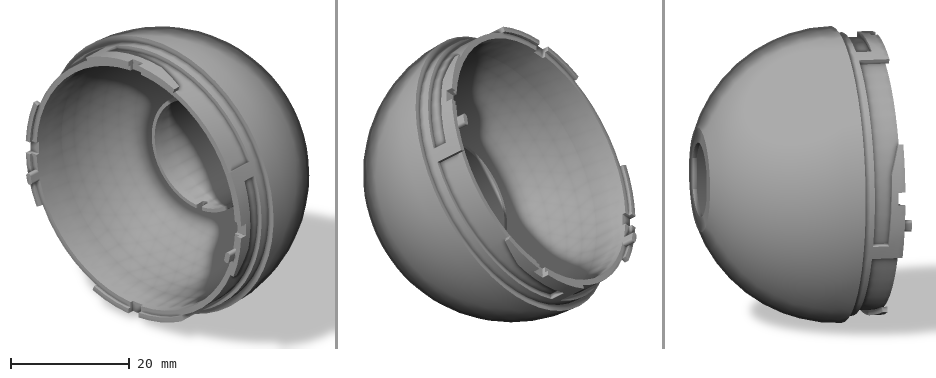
import cadquery as cq
import math


dome_radius = 25.0
crown_y = 23.4
inner_radius = 22.0
neck_radius = 23.0
collar_radius = 23.9
collar_length = 1.8
skirt_length = 6.45
joint_angle = 45.0

socket_mouth_y = 9.85
socket_floor_y = 22.7
socket_outer_mouth_radius = 10.45
socket_outer_base_radius = 10.65
socket_inner_mouth_radius = 9.8
socket_inner_floor_radius = 9.25
socket_slot_width = 1.1
socket_slot_flare = 0.25
socket_slot_depth = 2.0

hole_radius = 6.25
hole_width = 11.3

lug_count = 4
lug_length = 7.05
lug_start_angle = -26.1
lug_end_angle = 22.3
window_start_angle = -20.2
window_start_x = collar_radius * math.sin(math.radians(window_start_angle))
window_bottom = 4.5
ramp_start_x = 4.05
top_ramp_depths = (4.5, 5.75)
other_ramp_depths = (4.8, 6.2)
ramp_end_x = collar_radius * math.sin(math.radians(lug_end_angle))

notch_width = 2.25
notch_floor = 5.85

pin_end = 8.45
pin_top_z = -3.95
pin_bottom_z = -5.95
pin_corner = 0.45


def disc(radius, start_y, length):
    """Cylinder on the Y axis running from start_y toward -Y."""
    return cq.Workplane("XZ", origin=(0, start_y, 0)).circle(radius).extrude(length)


def sector(start_angle, end_angle, start_depth, end_depth):
    """Wedge about the Y axis between two angles from +Z and two depths toward -Y."""
    reach = 2 * dome_radius
    corners = [(0, 0)]
    for angle in (start_angle, end_angle):
        turn = math.radians(angle)
        corners.append((reach * math.sin(turn), reach * math.cos(turn)))
    plane = cq.Workplane("XZ", origin=(0, -start_depth, 0))
    return plane.polyline(corners).close().extrude(end_depth - start_depth)


def make_shell():
    """Turned body: dome, skirt with an unbroken lug band, and tapered inner socket."""
    crown_radius = math.sqrt(dome_radius**2 - crown_y**2)
    socket_base_y = math.sqrt(inner_radius**2 - socket_outer_base_radius**2)
    outline = (
        cq.Workplane("XY")
        .moveTo(0, crown_y)
        .lineTo(crown_radius, crown_y)
        .radiusArc((dome_radius, 0), dome_radius)
        .lineTo(collar_radius, 0)
        .lineTo(collar_radius, -lug_length)
        .lineTo(neck_radius, -lug_length)
        .lineTo(neck_radius, -skirt_length)
        .lineTo(inner_radius, -skirt_length)
        .lineTo(inner_radius, 0)
        .radiusArc((socket_outer_base_radius, socket_base_y), -inner_radius)
        .lineTo(socket_outer_mouth_radius, socket_mouth_y)
        .lineTo(socket_inner_mouth_radius, socket_mouth_y)
        .lineTo(socket_inner_floor_radius, socket_floor_y)
        .lineTo(0, socket_floor_y)
        .close()
    )
    shell = outline.revolve(360, (0, 0, 0), (0, 1, 0))
    return shell.rotate((0, 0, 0), (0, 1, 0), joint_angle)


def make_crown_hole():
    """Round hole with two flats facing along X."""
    hole = disc(hole_radius, crown_y, crown_y - socket_mouth_y)
    flats = cq.Workplane("XY").box(hole_width, 2 * crown_y, 2 * hole_radius)
    return hole.intersect(flats)


def make_socket_slot():
    """Round-ended slot with a flared mouth in the rim of the socket, on the -Z side."""
    half_width = socket_slot_width / 2
    flared_half_width = half_width + socket_slot_flare
    flare_end_y = socket_mouth_y + socket_slot_flare
    end_y = socket_mouth_y + socket_slot_depth
    outline = (
        cq.Workplane("XY")
        .moveTo(-flared_half_width, socket_mouth_y)
        .radiusArc((-half_width, flare_end_y), -socket_slot_flare)
        .lineTo(-half_width, end_y - half_width)
        .threePointArc((0, end_y), (half_width, end_y - half_width))
        .lineTo(half_width, flare_end_y)
        .radiusArc((flared_half_width, socket_mouth_y), -socket_slot_flare)
        .close()
    )
    return outline.extrude(-inner_radius / 2)


def make_band_cutter(start_angle, end_angle):
    """Sector of a ring that reaches from the neck surface out past the lug band."""
    ring = disc(dome_radius, -collar_length, lug_length - collar_length)
    ring = ring.cut(disc(neck_radius, -collar_length, lug_length - collar_length))
    return ring.intersect(sector(start_angle, end_angle, collar_length, lug_length))


def make_gap():
    """Full-depth gap between the +Z lug and the next one clockwise."""
    return make_band_cutter(lug_end_angle, lug_start_angle + 360 / lug_count)


def make_window(ramp_start_depth, ramp_end_depth):
    """Bayonet window behind the +Z lug, with a ramp at its open end."""
    outline = (
        cq.Workplane("XY")
        .moveTo(-collar_radius, -collar_length)
        .lineTo(-collar_radius, -window_bottom)
        .lineTo(window_start_x, -window_bottom)
        .lineTo(ramp_start_x, -ramp_start_depth)
        .lineTo(ramp_end_x, -ramp_end_depth)
        .lineTo(collar_radius, -ramp_end_depth)
        .lineTo(collar_radius, -collar_length)
        .close()
    )
    ramped_block = outline.extrude(dome_radius)
    return make_band_cutter(window_start_angle, lug_end_angle).intersect(ramped_block)


def make_notches():
    """Two crossing bars that notch the rim at the centres of the four lugs."""
    height = lug_length - notch_floor
    middle = cq.Workplane("XY", origin=(0, -(lug_length + notch_floor) / 2, 0))
    bar_along_x = middle.box(2 * dome_radius, height, notch_width)
    bar_along_z = middle.box(notch_width, height, 2 * dome_radius)
    return bar_along_x.union(bar_along_z)


def make_pin(side):
    """Rounded pin standing on the skirt rim, on the +X (1) or -X (-1) side."""
    base = cq.Workplane("XZ", origin=(0, -skirt_length, 0))
    strip = base.circle(neck_radius).circle(inner_radius).extrude(pin_end - skirt_length)
    slab = cq.Workplane("XY", origin=(side * dome_radius / 2, 0, (pin_top_z + pin_bottom_z) / 2))
    pin = strip.intersect(slab.box(dome_radius, dome_radius, pin_top_z - pin_bottom_z))
    return pin.edges("|Y").fillet(pin_corner)


body = make_shell()

for index in range(lug_count):
    angle = index * 360 / lug_count
    depths = top_ramp_depths if index == 0 else other_ramp_depths
    body = body.cut(make_gap().rotate((0, 0, 0), (0, 1, 0), angle))
    body = body.cut(make_window(*depths).rotate((0, 0, 0), (0, 1, 0), angle))

body = body.cut(make_notches())
body = body.cut(make_crown_hole())
body = body.cut(make_socket_slot())

for side in (-1, 1):
    body = body.union(make_pin(side), clean=False)

result = body